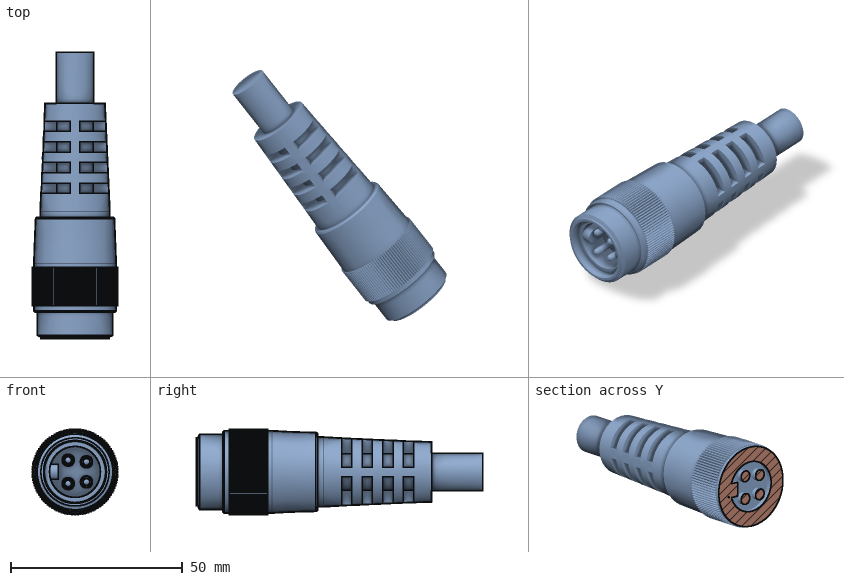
import cadquery as cq
import math

total_length = 83.5

nose_radius = 11.0
lip_radius = 9.9
lip_length = 0.5
nose_shoulder_y = 1.0

ring_y = 7.7
ring_radius = 12.0
edge_chamfer = 0.5
sleeve_taper_y = 22.05
sleeve_end_y = 35.4
sleeve_end_radius = 11.5
sleeve_chamfer_inset = 0.3

knurl_y = 9.6
knurl_length = 11.2
knurl_end_y = knurl_y + knurl_length
knurl_diameter = 25.0
knurl_radius = knurl_diameter / 2
knurl_count = 100
knurl_root_radius = 11.9
knurl_tip_share = 0.3
knurl_seat_radius = 11.5

boot_taper_y = 37.1
boot_end_y = 68.55
boot_front_radius = 10.2
boot_end_radius = 8.8
cable_radius = 5.5

slot_count = 4
slot_y = 42.3
slot_width = 3.0
slot_pitch = 2 * slot_width
slot_rib_width = 2.75

mouth_radius = 8.9
mouth_chamfer = 0.25
ledge_y = 2.5
socket_radius = 7.4
floor_y = 10.0

root_overlap = 0.4

pin_places = [(-2.0, 3.4), (3.3, 2.9)]
pin_radius = 1.0
pin_tip_y = 2.2
shoulder_radius = 1.75
shoulder_chamfer = 0.25
shoulder_y = 8.35

key_outer_x = -7.9
key_inner_x = -4.85
key_half_width = 2.2
key_tip_y = 2.7


def cylinder_y(radius, start_y, end_y, x=0.0, z=0.0):
    """Solid cylinder along +Y between two distances from the mouth."""
    axis_start = cq.Vector(x, start_y, z)
    return cq.Workplane(cq.Solid.makeCylinder(radius, end_y - start_y, axis_start, cq.Vector(0, 1, 0)))


def make_body():
    """Nose, collar with a seat for the grip, boot and cable as one turned profile."""
    profile = [
        (0, 0),
        (lip_radius, 0),
        (lip_radius, lip_length),
        (nose_radius, nose_shoulder_y),
        (nose_radius, ring_y),
        (ring_radius - edge_chamfer, ring_y),
        (ring_radius, ring_y + edge_chamfer),
        (ring_radius, knurl_y),
        (knurl_seat_radius, knurl_y),
        (knurl_seat_radius, knurl_end_y),
        (ring_radius, knurl_end_y),
        (ring_radius, sleeve_taper_y),
        (sleeve_end_radius, sleeve_end_y - edge_chamfer),
        (sleeve_end_radius - sleeve_chamfer_inset, sleeve_end_y),
        (boot_front_radius, sleeve_end_y),
        (boot_front_radius, boot_taper_y),
        (boot_end_radius, boot_end_y),
        (cable_radius, boot_end_y),
        (cable_radius, total_length),
        (0, total_length),
    ]
    return cq.Workplane("XY").polyline(profile).close().revolve(360, (0, 0, 0), (0, 1, 0))


def make_knurl():
    """Grip ring of flat-topped teeth along Y, parted by V grooves."""
    pitch_angle = 2 * math.pi / knurl_count
    tip_half_angle = knurl_tip_share * pitch_angle / 2
    outline = []
    for tooth in range(knurl_count):
        tip_angle = tooth * pitch_angle
        for radius, angle in (
            (knurl_radius, tip_angle - tip_half_angle),
            (knurl_radius, tip_angle + tip_half_angle),
            (knurl_root_radius, tip_angle + pitch_angle / 2),
        ):
            outline.append((radius * math.cos(angle), radius * math.sin(angle)))
    grip_plane = cq.Workplane("XZ", origin=(0, knurl_y, 0))
    return grip_plane.polyline(outline).close().extrude(-knurl_length)


def make_slots():
    """Rows of quadrant windows that reach in to the cable surface."""
    quadrant_size = boot_front_radius
    quadrant_middle = slot_rib_width / 2 + quadrant_size / 2
    slots = cq.Workplane("XY")
    for row in range(slot_count):
        start_y = slot_y + row * slot_pitch
        for side_x in (-1, 1):
            for side_z in (-1, 1):
                window = cq.Workplane("XY").box(quadrant_size, slot_width, quadrant_size)
                window_middle = (side_x * quadrant_middle, start_y + slot_width / 2, side_z * quadrant_middle)
                slots = slots.add(window.translate(window_middle))
    core = cylinder_y(cable_radius, slot_y, boot_end_y)
    return slots.combine().cut(core)


def make_socket():
    """Stepped bore of the nose with a chamfered mouth."""
    profile = [
        (0, 0),
        (mouth_radius + mouth_chamfer, 0),
        (mouth_radius, mouth_chamfer),
        (mouth_radius, ledge_y),
        (socket_radius, ledge_y),
        (socket_radius, floor_y),
        (0, floor_y),
    ]
    return cq.Workplane("XY").polyline(profile).close().revolve(360, (0, 0, 0), (0, 1, 0))


def make_pin(x, z):
    """Round-nosed contact standing on a chamfered shoulder."""
    dome_y = pin_tip_y + pin_radius
    dome = cq.Workplane("XY").sphere(pin_radius).translate((x, dome_y, z))
    pin = cylinder_y(pin_radius, dome_y, floor_y + root_overlap, x, z).union(dome)
    shoulder = cylinder_y(shoulder_radius, shoulder_y, floor_y + root_overlap, x, z)
    return pin.union(shoulder.faces("<Y").chamfer(shoulder_chamfer))


def make_key():
    """Bar along the socket wall with a fully rounded front end."""
    key_round_y = key_tip_y + key_half_width
    return (
        cq.Workplane("YZ", origin=(key_outer_x, 0, 0))
        .moveTo(floor_y + root_overlap, -key_half_width)
        .lineTo(key_round_y, -key_half_width)
        .threePointArc((key_tip_y, 0), (key_round_y, key_half_width))
        .lineTo(floor_y + root_overlap, key_half_width)
        .close()
        .extrude(key_inner_x - key_outer_x)
    )


result = make_body().union(make_knurl()).cut(make_slots()).cut(make_socket()).union(make_key())
for pin_x, pin_z in pin_places:
    for side_z in (-1, 1):
        result = result.union(make_pin(pin_x, side_z * pin_z))